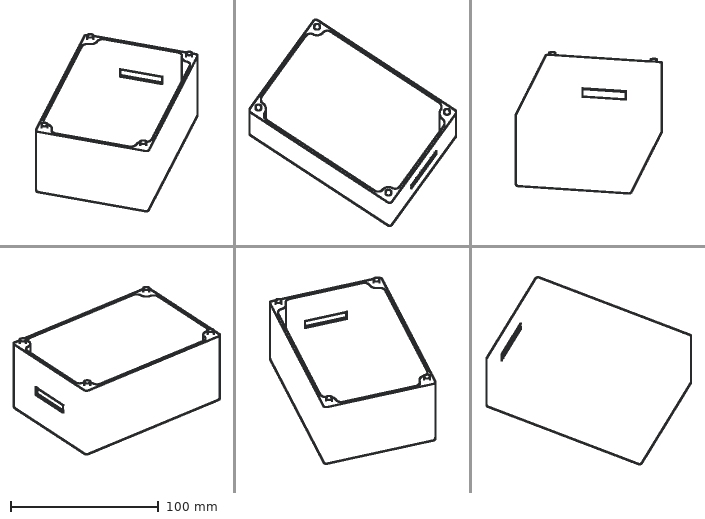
import cadquery as cq
import math

width = 80.0
length = 117.0
total_height = 54.8
pin_height = 3.3
box_height = total_height - pin_height
wall = 1.8
floor_thickness = 2.0
outer_radius = 2.0
floor_fillet = 3.0

post_inset = 5.0
post_radius = 5.0
post_blend = 4.0
pin_diameter = 4.2
pin_base_fillet = 0.8

window_width = 30.0
window_height = 6.0
window_bottom = 22.7

pin_points = [
    (side_x * (width / 2 - post_inset), side_y * (length / 2 - post_inset))
    for side_x in (-1, 1)
    for side_y in (-1, 1)
]


def make_outer_block():
    block = cq.Workplane("XY").box(width, length, box_height, centered=(True, True, False))
    return block.edges("|Z").fillet(outer_radius).faces("<Z").edges().fillet(outer_radius)


def make_cavity():
    """Inner volume whose corners curve inward around the posts."""
    blend_across = wall + post_blend - post_inset
    blend_along = math.sqrt((post_radius + post_blend) ** 2 - blend_across**2)
    blend_angle = math.atan2(blend_across, blend_along)
    half_sweep = (math.pi / 2 - blend_angle) / 2
    middle_angle = math.pi / 2 - half_sweep

    wall_end = (blend_along, blend_across - post_blend)
    blend_middle = (
        blend_along - post_blend * math.cos(middle_angle),
        blend_across - post_blend * math.sin(middle_angle),
    )
    post_start = (post_radius * math.cos(blend_angle), post_radius * math.sin(blend_angle))
    post_middle = (post_radius * math.cos(math.pi / 4), post_radius * math.sin(math.pi / 4))
    half_corner = [wall_end, blend_middle, post_start]
    mirrored_half = [(across, along) for along, across in reversed(half_corner)]
    corner = half_corner + [post_middle] + mirrored_half

    outline = cq.Workplane("XY").workplane(offset=floor_thickness)
    for index, (side_x, side_y) in enumerate([(1, 1), (1, -1), (-1, -1), (-1, 1)]):
        points = [
            (side_x * (width / 2 - post_inset - x), side_y * (length / 2 - post_inset - y))
            for x, y in corner
        ]
        if side_x != side_y:
            points.reverse()
        outline = outline.moveTo(*points[0]) if index == 0 else outline.lineTo(*points[0])
        for middle, end in zip(points[1::2], points[2::2]):
            outline = outline.threePointArc(middle, end)
    cavity = outline.close().extrude(box_height - floor_thickness)
    return cavity.faces("<Z").edges().fillet(floor_fillet)


def make_pins():
    """Round pins on the rim, each flared by a concave fillet at its base."""
    pin_radius = pin_diameter / 2
    flare_radius = pin_radius + pin_base_fillet
    arc_middle_step = pin_base_fillet * (1 - math.sqrt(0.5))
    pin = (
        cq.Workplane("XZ")
        .lineTo(flare_radius, 0)
        .threePointArc(
            (pin_radius + arc_middle_step, arc_middle_step),
            (pin_radius, pin_base_fillet),
        )
        .lineTo(pin_radius, pin_height)
        .lineTo(0, pin_height)
        .close()
        .revolve(360, (0, 0, 0), (0, 1, 0))
    )
    rim_points = cq.Workplane("XY").workplane(offset=box_height).pushPoints(pin_points)
    return rim_points.eachpoint(lambda place: pin.val().moved(place), combine=False)


def make_window():
    return (
        cq.Workplane("XY")
        .box(window_width, 2 * wall, window_height, centered=(True, True, False))
        .translate((0, length / 2, window_bottom))
    )


result = make_outer_block().cut(make_cavity()).cut(make_window())
for pin in make_pins().vals():
    result = result.union(cq.Workplane(pin))